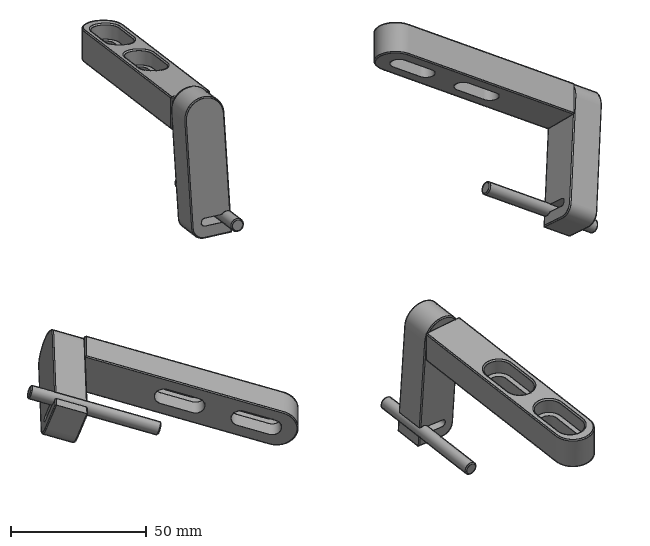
import cadquery as cq
import math


stock_width = 15.9
stock_thickness = 12.7
bar_length = 85.7
bar_bottom = -stock_width / 2
bar_top = bar_bottom + stock_thickness
edge_chamfer = 0.4

slot_count = 2
slot_straight = 12.4
slot_width = 6.9
counterbore_width = 10.9
counterbore_depth = 6.2
rim_chamfer = 0.5
first_slot_x = 15.9
slot_pitch = 30.0

post_lean = 3.7
post_drop = 47.6
post_corner_radius = 4.7
post_face_x = bar_length

pin_diameter = 5.1
pin_length = 50.8
pin_overhang = 9.5
pin_chamfer = 0.4
pin_side_inset = 1.6
pin_foot_inset = 6.4
slit_width = 3.1
slit_reach = 8.9
pin_end_x = post_face_x + stock_thickness + pin_overhang
pin_side = stock_width / 2 - pin_side_inset
pin_height = pin_foot_inset - post_drop


def lean(body):
    """Swing a body built upright about the X axis into the post's lean."""
    return body.rotate((0, 0, 0), (1, 0, 0), post_lean)


def make_bar():
    """Bar with a rounded free end, chamfered edges and counterbored slots."""
    radius = stock_width / 2
    bar = (
        cq.Workplane("XY", origin=(0, 0, bar_bottom))
        .moveTo(bar_length, -radius)
        .lineTo(radius, -radius)
        .threePointArc((0, 0), (radius, radius))
        .lineTo(bar_length, radius)
        .close()
        .extrude(stock_thickness)
    )
    bar = bar.faces("<Z or >Z or >X").chamfer(edge_chamfer)

    slot_centres = [(first_slot_x + i * slot_pitch, 0) for i in range(slot_count)]
    top_plane = cq.Workplane("XY", origin=(0, 0, bar_top)).pushPoints(slot_centres)
    through_slots = top_plane.slot2D(slot_straight + slot_width, slot_width).extrude(-stock_thickness)
    counterbores = top_plane.slot2D(
        slot_straight + counterbore_width, counterbore_width
    ).extrude(-counterbore_depth)
    rim_width = counterbore_width + 2 * rim_chamfer
    rims = top_plane.slot2D(slot_straight + rim_width, rim_width).extrude(-rim_chamfer, taper=45)
    return bar.cut(through_slots).cut(counterbores).cut(rims)


def make_post():
    """Leaning post with a full-round top, one rounded foot corner and a split pin hole."""
    radius = stock_width / 2
    corner_start = post_corner_radius - post_drop
    corner_end = post_corner_radius - radius
    corner_bulge = post_corner_radius * math.sqrt(0.5)
    post = (
        cq.Workplane("YZ", origin=(post_face_x, 0, 0))
        .moveTo(radius, -post_drop)
        .lineTo(radius, 0)
        .threePointArc((0, radius), (-radius, 0))
        .lineTo(-radius, corner_start)
        .threePointArc((corner_end - corner_bulge, corner_start - corner_bulge), (corner_end, -post_drop))
        .close()
        .extrude(stock_thickness)
        .faces("<X or >X")
        .chamfer(edge_chamfer)
    )

    pin_centre = cq.Workplane("YZ", origin=(post_face_x, pin_side, pin_height))
    pin_hole = pin_centre.circle(pin_diameter / 2).extrude(stock_thickness)
    slit = (
        pin_centre.center(-slit_reach / 2, 0)
        .slot2D(slit_reach + slit_width, slit_width)
        .extrude(stock_thickness)
    )
    return lean(post.cut(pin_hole).cut(slit))


def make_pin():
    """Straight pin with chamfered ends, gripped in the post's hole."""
    pin = (
        cq.Workplane("YZ", origin=(pin_end_x - pin_length, pin_side, pin_height))
        .circle(pin_diameter / 2)
        .extrude(pin_length)
        .faces("<X or >X")
        .chamfer(pin_chamfer)
    )
    return lean(pin)


bar = make_bar()
post = make_post()
pin = make_pin()

result = cq.Compound.makeCompound([bar.val(), post.val(), pin.val()])